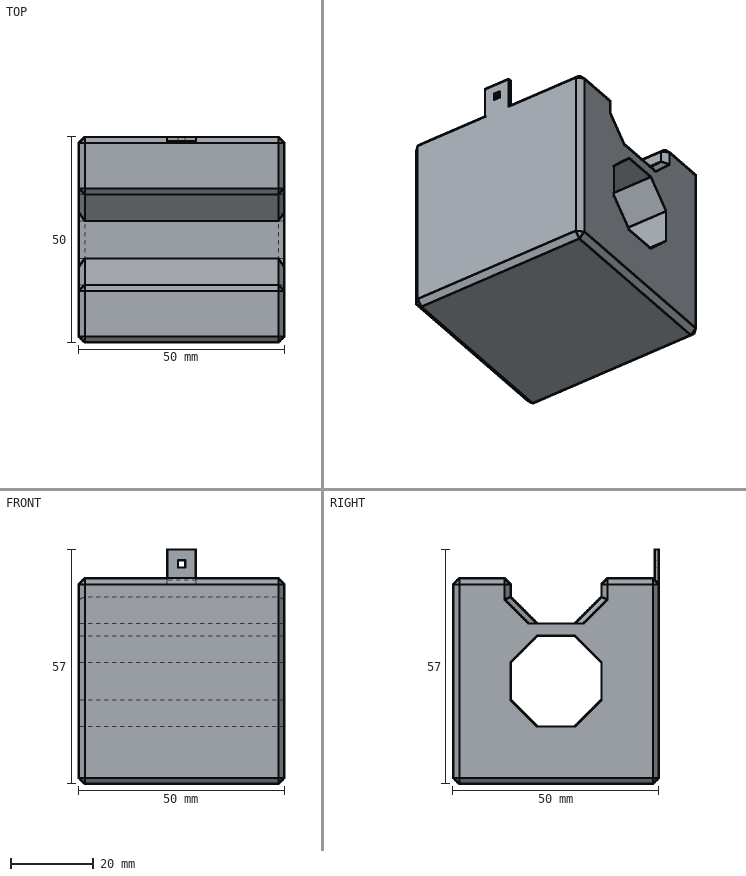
import cadquery as cq
import math

total_height = 57.0
block_size = 50.0
chamfer = 1.5
octagon_width = 22.0
tab_width = 7.0
tab_thickness = 1.0
tab_hole_size = 1.7

half_block = block_size / 2
tab_height = total_height - block_size
tab_root = chamfer
tolerance = 0.005


def octagon_prism(center_z):
    """Octagon with flats up and down, running through the block along X."""
    half_flat = octagon_width / 2
    half_side = half_flat * math.tan(math.pi / 8)
    corners = [
        (half_side, half_flat),
        (half_flat, half_side),
        (half_flat, -half_side),
        (half_side, -half_flat),
        (-half_side, -half_flat),
        (-half_flat, -half_side),
        (-half_flat, half_side),
        (-half_side, half_flat),
    ]
    return (
        cq.Workplane("YZ", origin=(-half_block, 0, center_z))
        .polyline(corners)
        .close()
        .extrude(block_size)
    )


def is_chamfered(edge):
    """True for the outside edges and groove mouth, but not the two ends of the groove floor."""
    middle = edge.Center()
    inside_groove = abs(middle.y) < octagon_width / 2 - tolerance
    on_end_face = abs(middle.x) > half_block - tolerance
    at_top = middle.z > block_size - tolerance
    on_groove_floor = abs(middle.y) < tolerance and on_end_face and middle.z > half_block
    on_outside = abs(middle.y) > half_block - tolerance
    groove_end = on_end_face and not on_groove_floor
    outer_rim = not inside_groove and (at_top or on_outside)
    return groove_end or outer_rim


body = cq.Workplane("XY").box(block_size, block_size, block_size, centered=(True, True, False))
body = body.cut(octagon_prism(block_size))

chamfered_edges = [edge for edge in body.edges().vals() if is_chamfered(edge)]
body = body.newObject(chamfered_edges).chamfer(chamfer)

body = body.cut(octagon_prism(half_block))

tab_y = half_block - tab_thickness / 2
tab = cq.Workplane("XY", origin=(0, tab_y, block_size - tab_root)).box(
    tab_width, tab_thickness, tab_height + tab_root, centered=(True, True, False)
)
tab_hole = cq.Workplane("XY", origin=(0, tab_y, block_size + tab_height / 2)).box(
    tab_hole_size, tab_thickness, tab_hole_size
)

result = body.union(tab.cut(tab_hole))